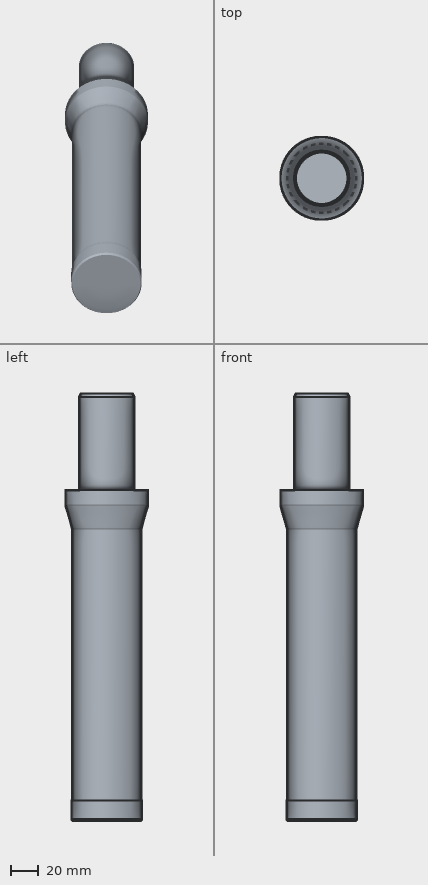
import cadquery as cq

total_height = 309.0

rod_diameter = 40.0
rod_length = 69.8
rod_chamfer_height = 2.5
rod_chamfer_width = 1.2

flange_diameter = 60.0
flange_thickness = 10.8
neck_height = 17.3
barrel_diameter = 50.0
foot_diameter = 51.0
foot_height = 14.8
foot_chamfer_height = 1.5
foot_chamfer_width = 1.0

flange_top = total_height - rod_length
flange_bottom = flange_top - flange_thickness
neck_bottom = flange_bottom - neck_height


def make_housing():
    """Revolve the stepped housing about the Z axis, with its foot at Z = 0."""
    foot_radius = foot_diameter / 2
    barrel_radius = barrel_diameter / 2
    flange_radius = flange_diameter / 2
    profile = (
        cq.Workplane("XZ")
        .moveTo(0, 0)
        .lineTo(foot_radius - foot_chamfer_width, 0)
        .lineTo(foot_radius, foot_chamfer_height)
        .lineTo(foot_radius, foot_height)
        .lineTo(barrel_radius, foot_height)
        .lineTo(barrel_radius, neck_bottom)
        .lineTo(flange_radius, flange_bottom)
        .lineTo(flange_radius, flange_top)
        .lineTo(0, flange_top)
        .close()
    )
    return profile.revolve(360, (0, 0, 0), (0, 1, 0))


def make_rod():
    """Make the rod with a chamfered upper end, seated on the flange."""
    rod_radius = rod_diameter / 2
    profile = (
        cq.Workplane("XZ")
        .moveTo(0, flange_top)
        .lineTo(rod_radius, flange_top)
        .lineTo(rod_radius, total_height - rod_chamfer_height)
        .lineTo(rod_radius - rod_chamfer_width, total_height)
        .lineTo(0, total_height)
        .close()
    )
    return profile.revolve(360, (0, 0, 0), (0, 1, 0))


housing = make_housing()
rod = make_rod()

result = cq.Compound.makeCompound([housing.val(), rod.val()])